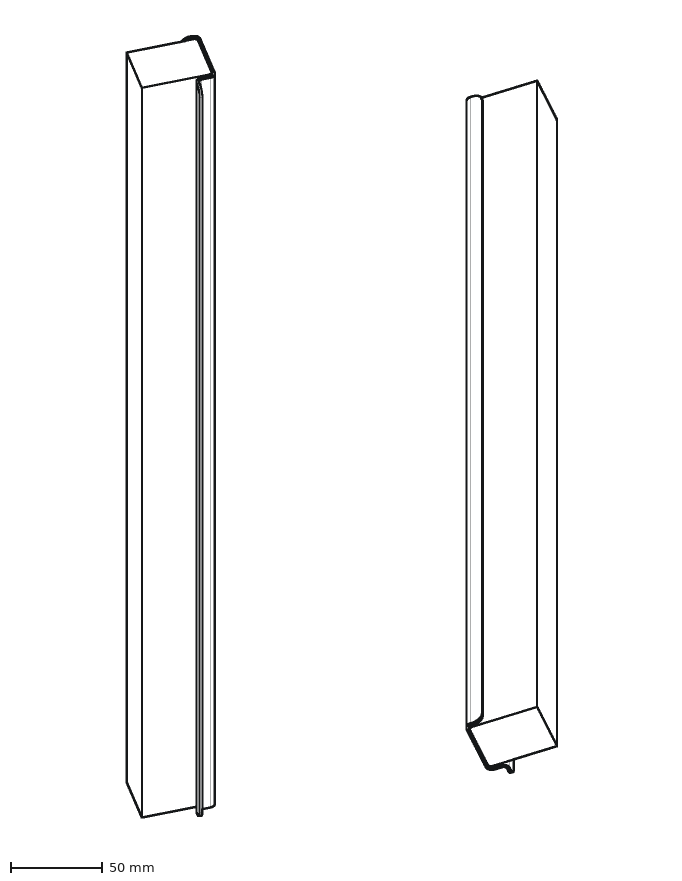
import cadquery as cq

length = 542.0
overall_width = 43.5
overall_depth = 42.0

sheet = 1.5
bend_inner = 2.0
bend_outer = bend_inner + sheet
clip_width = 35.0
left_leg_depth = 10.5
flange_front_depth = 12.0
corner_radius = 5.5

bar_width = 30.0

clip_right = clip_width / 2
clip_left = -clip_right
flange_back = sheet - flange_front_depth
flange_end = clip_left + overall_width


def make_box(x_min, x_max, y_min, y_max):
    """Full-length upright block between the given X and Y limits."""
    block = cq.Workplane("XY").box(x_max - x_min, y_max - y_min, length, centered=False)
    return block.translate((x_min, y_min, 0))


def make_bar():
    """Bar resting on the back of the clip, its rear edges rounded to clear the inner bends."""
    return make_box(-bar_width / 2, bar_width / 2, -overall_depth, -sheet).edges("|Z and >Y").fillet(bend_inner)


def make_clip():
    """Bent channel around the back of the bar, with a flange turned out to the right."""
    back = make_box(clip_left, clip_right, -sheet, 0)
    left_leg = make_box(clip_left, clip_left + sheet, -left_leg_depth, 0)
    right_leg = make_box(clip_right - sheet, clip_right, -flange_front_depth, 0)
    flange = make_box(clip_right - sheet, flange_end, -flange_front_depth, flange_back)

    left_leg = left_leg.edges("|X and <Y").fillet(corner_radius)
    flange = flange.edges("|Y and >X").fillet(corner_radius)
    clip = back.union(left_leg).union(right_leg).union(flange)

    outer_bends = [(clip_left, 0), (clip_right, 0), (clip_right - sheet, -flange_front_depth)]
    inner_bends = [(clip_left + sheet, -sheet), (clip_right - sheet, -sheet), (clip_right, flange_back)]
    for bends, radius in ((outer_bends, bend_outer), (inner_bends, bend_inner)):
        for x, y in bends:
            bend_edge = cq.selectors.NearestToPointSelector((x, y, length / 2))
            clip = clip.edges(bend_edge).fillet(radius)
    return clip


bar = make_bar()
clip = make_clip()

result = cq.Compound.makeCompound([bar.val(), clip.val()])